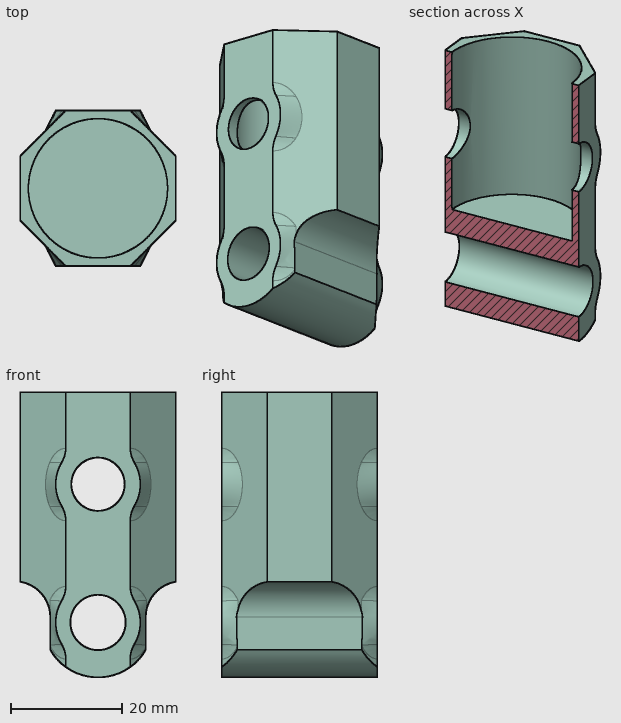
import cadquery as cq
import math

ACROSS_FLATS = 27.94
HEIGHT = 51.19
HALF_FLATS = ACROSS_FLATS / 2
SIDE_COUNT = 8
HALF_SIDE_ANGLE = math.pi / SIDE_COUNT
HALF_SIDE = HALF_FLATS * math.tan(HALF_SIDE_ANGLE)

LOWER_HOLE_DIAMETER = 9.88
UPPER_HOLE_DIAMETER = 9.53
LOWER_HOLE_Z = 9.88
HOLE_SPACING = 24.8
UPPER_HOLE_Z = LOWER_HOLE_Z + HOLE_SPACING

TONGUE_HALF_WIDTH = 8.6
TONGUE_END_RADIUS = LOWER_HOLE_Z
SHOULDER_RADIUS = 6.35
SHOULDER_CENTER_Z = 10.9

BORE_DIAMETER = 25.0
BORE_FLOOR_Z = LOWER_HOLE_Z + TONGUE_END_RADIUS

BOSS_RADIUS = 7.6
BOSS_BLEND_RADIUS = 5.0
FLARE_REACH = 5.2
CLIPPED_FLARE_X = 8.7


def make_body():
    corner_diameter = ACROSS_FLATS / math.cos(HALF_SIDE_ANGLE)
    octagon = cq.Workplane("XY").polygon(SIDE_COUNT, corner_diameter)
    return octagon.extrude(HEIGHT).rotate((0, 0, 0), (0, 0, 1), math.degrees(HALF_SIDE_ANGLE))


def make_flare(hole_z, clipped):
    """Wedge beside the +X edge of the front flat. Its rim on the flat is a boss arc with
    a concave blend at each end; its foot on the slanted face is half an ellipse, whose
    middle stretch becomes a straight vertical line when the flare is clipped."""
    blend_x = HALF_SIDE + BOSS_BLEND_RADIUS
    half_height = math.sqrt((BOSS_RADIUS + BOSS_BLEND_RADIUS) ** 2 - blend_x**2)
    tangent_angle = math.atan2(half_height, blend_x)
    tangent_x = BOSS_RADIUS * math.cos(tangent_angle)
    tangent_z = BOSS_RADIUS * math.sin(tangent_angle)
    blend_mid_x = blend_x - BOSS_BLEND_RADIUS * math.cos(tangent_angle / 2)
    blend_mid_z = half_height - BOSS_BLEND_RADIUS * math.sin(tangent_angle / 2)

    def on_flat(x, z):
        return cq.Vector(x, -HALF_FLATS, hole_z + z)

    top = on_flat(HALF_SIDE, half_height)
    upper_tangent = on_flat(tangent_x, tangent_z)
    lower_tangent = on_flat(tangent_x, -tangent_z)
    bottom = on_flat(HALF_SIDE, -half_height)
    rim = [
        cq.Edge.makeThreePointArc(top, on_flat(blend_mid_x, blend_mid_z), upper_tangent),
        cq.Edge.makeThreePointArc(upper_tangent, on_flat(BOSS_RADIUS, 0), lower_tangent),
        cq.Edge.makeThreePointArc(lower_tangent, on_flat(blend_mid_x, -blend_mid_z), bottom),
    ]

    clipped_reach = (CLIPPED_FLARE_X - HALF_SIDE) * math.sqrt(2)
    split_angle = math.degrees(math.asin(clipped_reach / FLARE_REACH))

    def foot_arc(start_angle, end_angle):
        return cq.Edge.makeEllipse(
            half_height,
            FLARE_REACH,
            pnt=on_flat(HALF_SIDE, 0),
            dir=cq.Vector(-1, 1, 0),
            xdir=cq.Vector(0, 0, 1),
            angle1=start_angle,
            angle2=end_angle,
        )

    upper_foot = foot_arc(0, split_angle)
    lower_foot = foot_arc(180 - split_angle, 180)
    if clipped:
        middle_foot = cq.Edge.makeLine(upper_foot.endPoint(), lower_foot.startPoint())
    else:
        middle_foot = foot_arc(split_angle, 180 - split_angle)
    foot = [upper_foot, middle_foot, lower_foot]

    body_edge = cq.Edge.makeLine(bottom, top)
    faces = [cq.Face.makeRuledSurface(outer, inner) for outer, inner in zip(rim, foot)]
    faces.append(cq.Face.makeFromWires(cq.Wire.assembleEdges(rim + [body_edge])))
    faces.append(cq.Face.makeFromWires(cq.Wire.assembleEdges(foot + [body_edge])))
    flare = cq.Solid.makeSolid(cq.Shell.makeShell(faces)).fix()
    return cq.Workplane(obj=flare)


def add_bosses(part):
    for hole_z, clipped in ((LOWER_HOLE_Z, True), (UPPER_HOLE_Z, False)):
        flare = make_flare(hole_z, clipped)
        front = flare.union(flare.mirror("YZ"))
        part = part.union(front).union(front.mirror("XZ"))
    return part


def shape_tongue(part):
    """Trim the lower end to the tongue, with a concave shoulder on each side."""
    end_top_z = LOWER_HOLE_Z - math.sqrt(TONGUE_END_RADIUS**2 - TONGUE_HALF_WIDTH**2)
    shoulder_x = TONGUE_HALF_WIDTH + SHOULDER_RADIUS
    shoulder_mid_x = shoulder_x - SHOULDER_RADIUS * math.cos(math.pi / 4)
    shoulder_mid_z = SHOULDER_CENTER_Z + SHOULDER_RADIUS * math.sin(math.pi / 4)
    shoulder_top_z = SHOULDER_CENTER_Z + SHOULDER_RADIUS
    tongue = (
        cq.Workplane("XZ")
        .moveTo(-TONGUE_HALF_WIDTH, end_top_z)
        .threePointArc((0, 0), (TONGUE_HALF_WIDTH, end_top_z))
        .lineTo(TONGUE_HALF_WIDTH, SHOULDER_CENTER_Z)
        .threePointArc((shoulder_mid_x, shoulder_mid_z), (shoulder_x, shoulder_top_z))
        .lineTo(shoulder_x, HEIGHT)
        .lineTo(-shoulder_x, HEIGHT)
        .lineTo(-shoulder_x, shoulder_top_z)
        .threePointArc((-shoulder_mid_x, shoulder_mid_z), (-TONGUE_HALF_WIDTH, SHOULDER_CENTER_Z))
        .close()
        .extrude(ACROSS_FLATS, both=True)
    )
    return part.intersect(tongue)


def cut_cross_hole(part, hole_z, diameter):
    hole = cq.Workplane("XZ").center(0, hole_z).circle(diameter / 2)
    return part.cut(hole.extrude(ACROSS_FLATS, both=True))


def cut_bore(part):
    bore = cq.Workplane("XY").workplane(offset=BORE_FLOOR_Z).circle(BORE_DIAMETER / 2)
    return part.cut(bore.extrude(HEIGHT - BORE_FLOOR_Z))


result = make_body()
result = add_bosses(result)
result = shape_tongue(result)
result = cut_bore(result)
result = cut_cross_hole(result, LOWER_HOLE_Z, LOWER_HOLE_DIAMETER)
result = cut_cross_hole(result, UPPER_HOLE_Z, UPPER_HOLE_DIAMETER)